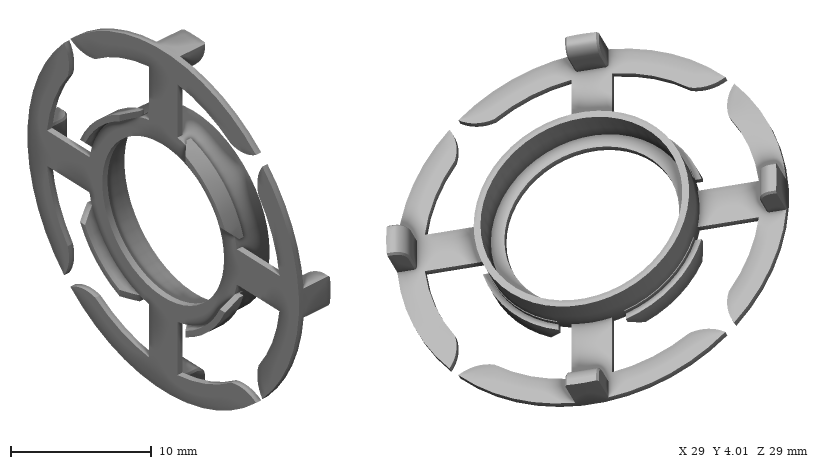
import cadquery as cq
import math


rim_radius = 14.5
rim_inner_radius = 12.5
plate_thickness = 0.5
spoke_width = 3.01
hub_radius = 16.0 / 2
hub_hole_radius = 13.0 / 2
quarter_count = 4

tip_offset = 9.91
end_bulge = (8.5, 10.05)
end_inner_offset = 7.25

tube_bore_radius = 15.0 / 2
tube_length = 2.5

tab_width = 2.5
tab_depth = 1.5
tab_round = 1.0
tab_chamfer = 0.15

clip_radius = 8.5
clip_length = 1.01
clip_end_offset = 2.5
clip_top = 0.4
clip_foot_radius = 8.05
clip_foot_top = 0.75

back_height = plate_thickness + tube_length


def on_circle(radius, offset):
    """Height of a circle above its diameter at a sideways offset."""
    return math.sqrt(radius**2 - offset**2)


def quarter_turns(body):
    """Join copies of a body at every quarter turn about the axis."""
    joined = body
    for quarter in range(1, quarter_count):
        joined = joined.union(body.rotate((0, 0, 0), (0, 0, 1), quarter * 360 / quarter_count))
    return joined


def ring(outer_radius, inner_radius, bottom, top):
    return (
        cq.Workplane("XY")
        .workplane(offset=bottom)
        .circle(outer_radius)
        .circle(inner_radius)
        .extrude(top - bottom)
    )


def rim_segment():
    """One rim arc, with the spoke that carries it."""
    tip_height = on_circle(rim_radius, tip_offset)
    end_inner_height = on_circle(rim_inner_radius, end_inner_offset)
    bulge_offset, bulge_height = end_bulge
    arc = (
        cq.Workplane("XY")
        .moveTo(-tip_offset, tip_height)
        .threePointArc((0, rim_radius), (tip_offset, tip_height))
        .threePointArc((bulge_offset, bulge_height), (end_inner_offset, end_inner_height))
        .threePointArc((0, rim_inner_radius), (-end_inner_offset, end_inner_height))
        .threePointArc((-bulge_offset, bulge_height), (-tip_offset, tip_height))
        .close()
        .extrude(plate_thickness)
    )
    spoke_start = (hub_hole_radius + hub_radius) / 2
    spoke_end = (rim_inner_radius + rim_radius) / 2
    spoke = cq.Workplane("XY").box(
        spoke_width, spoke_end - spoke_start, plate_thickness, centered=(True, False, False)
    )
    return arc.union(spoke.translate((0, spoke_start, 0)))


def tab():
    """Tab with a rounded inner back edge, chamfered sides and an outer face on the rim circle."""
    block_depth = tab_depth + tab_chamfer
    block = (
        cq.Workplane("XY")
        .box(tab_width, block_depth, back_height, centered=(True, False, False))
        .edges("<Y and >Z")
        .fillet(tab_round)
        .faces(">X or <X")
        .edges("not(<Z or >Y)")
        .chamfer(tab_chamfer)
        .translate((0, rim_radius - tab_depth, 0))
    )
    rim_disc = cq.Workplane("XY").circle(rim_radius).extrude(back_height)
    return block.intersect(rim_disc)


def clip():
    """Curved clip in one quadrant, with end slopes in front and a slimmer foot against the tube."""
    slope_end = clip_end_offset + clip_length
    side_profile = [
        (clip_radius, -clip_length),
        (slope_end, -clip_length),
        (clip_end_offset, 0),
        (clip_end_offset, clip_foot_top),
        (clip_radius, clip_foot_top),
    ]
    along_x = cq.Workplane("XZ").polyline(side_profile).close().extrude(-clip_radius)
    along_y = cq.Workplane("YZ").polyline(side_profile).close().extrude(clip_radius)
    hook = ring(clip_radius, hub_radius, -clip_length, clip_top)
    foot = ring(clip_foot_radius, hub_radius, clip_top, clip_foot_top)
    return hook.union(foot).intersect(along_x).intersect(along_y)


hub = ring(hub_radius, hub_hole_radius, 0, plate_thickness)
tube = ring(hub_radius, tube_bore_radius, plate_thickness, back_height)
body = hub.union(tube)
body = body.union(quarter_turns(rim_segment()))
body = body.union(quarter_turns(tab()))
body = body.union(quarter_turns(clip()))

result = body.rotate((0, 0, 0), (1, 0, 0), -90)